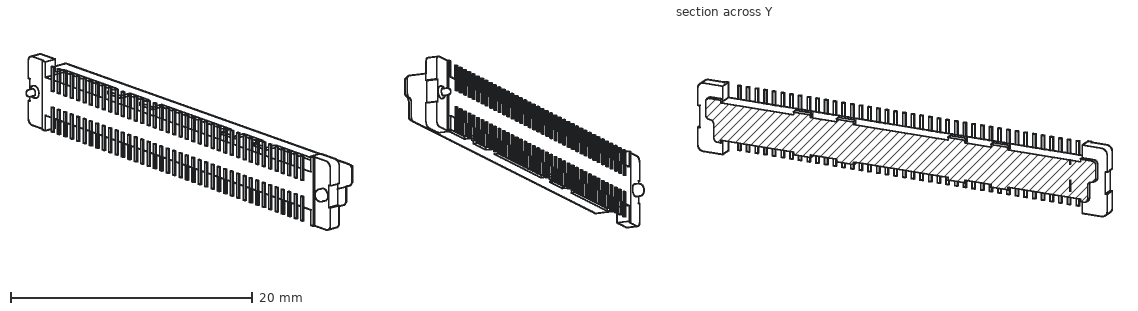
import cadquery as cq

total_depth = 4.35
pocket_depth = 1.6
flange_back = 2.5
tab_depth = 2.6
flange_front = 3.48
core_front = 3.63
pin_front = 3.75

shroud_half_length = 18.03
shroud_height = 3.78
corner_radius = 0.38
rim_chamfer_depth = 0.35
rim_chamfer_inset = 0.23
key_step = 0.75
key_radius = 0.36

core_height = 3.33
pocket_half_length = 16.6
tab_width = 1.6
tab_offsets = (5.15, 9.1)

overall_length = 37.8
flange_height = 6.0
flange_radius = 0.53
flange_step = 0.35
notch_depth = 0.2
notch_height = 1.93

pin_count = 40
pin_row_length = 31.22
pin_width = 0.25
pin_back = 3.6
pin_inner = 0.7
pin_outer = 2.85

peg_x = 18.05
round_peg_radius = 0.53
round_peg_length = 0.68
round_peg_fillet = 0.35
slim_peg_radius = 0.3
collar_radius = 0.53
collar_length = 0.2
collar_fillet = 0.15


def block(x_min, x_max, depth_back, depth_front, z_min, z_max):
    """Box between two X limits, two depths and two heights."""
    return cq.Workplane("XY").box(
        x_max - x_min, depth_front - depth_back, z_max - z_min, centered=False
    ).translate((x_min, -depth_front, z_min))


def mirrored_block(half_length, depth_back, depth_front, height):
    """Box centred on X = 0 and Z = 0."""
    return block(-half_length, half_length, depth_back, depth_front, -height / 2, height / 2)


def make_shroud():
    """Keyed block: the lower half is shorter than the upper one, joined by rounded steps."""
    half_height = shroud_height / 2
    lower_half_length = shroud_half_length - key_step
    upper = block(-shroud_half_length, shroud_half_length, 0, flange_front, 0, half_height)
    upper = upper.edges("|Y").fillet(corner_radius)
    lower = block(-lower_half_length, lower_half_length, 0, flange_front, -half_height, corner_radius)
    lower = lower.edges("|Y and <Z").fillet(corner_radius)
    keyed = upper.union(lower)
    step_corners = cq.selectors.BoxSelector(
        (-lower_half_length - key_radius / 2, -total_depth, -key_radius / 2),
        (lower_half_length + key_radius / 2, total_depth, key_radius / 2),
    )
    keyed = keyed.edges("|Y").edges(step_corners).fillet(key_radius)
    return keyed.faces(">Y").chamfer(rim_chamfer_depth, rim_chamfer_inset)


def cut_pockets(body):
    """Recess the top and bottom sides to the core height, leaving the tabs."""
    half_height = shroud_height / 2
    cutter = mirrored_block(pocket_half_length, pocket_depth, flange_front, shroud_height)
    cutter = cutter.cut(mirrored_block(pocket_half_length, pocket_depth, flange_front, core_height))
    for center in [side * offset for side in (-1, 1) for offset in tab_offsets]:
        cutter = cutter.cut(
            block(center - tab_width / 2, center + tab_width / 2,
                  pocket_depth, tab_depth, -half_height, half_height)
        )
    return body.cut(cutter)


def make_flange():
    """Left end flange: rounded outer corners, end notch and raised inner strip."""
    x_outer = -overall_length / 2
    half_height = flange_height / 2
    plate = block(x_outer, -pocket_half_length, flange_back, flange_front, -half_height, half_height)
    plate = plate.edges("|Y and <X").fillet(flange_radius)
    strip = block(-pocket_half_length - flange_step, -pocket_half_length,
                  flange_back, core_front, -half_height, half_height)
    notch = block(x_outer, x_outer + notch_depth, flange_back, flange_front,
                  -notch_height / 2, notch_height / 2)
    return plate.union(strip).cut(notch)


def make_peg(x, radius, length, tip_fillet):
    """Peg with a rounded tip edge, standing on the flange front face."""
    base = cq.Workplane("XZ", origin=(x, -flange_front, 0))
    return base.circle(radius).extrude(length).faces("<Y").edges().fillet(tip_fillet)


def make_slim_peg():
    """Narrow peg with a hemispherical tip, standing in a wider, rounded collar."""
    collar = make_peg(-peg_x, collar_radius, collar_length, collar_fillet)
    shank_length = total_depth - flange_front - slim_peg_radius
    shank = cq.Workplane("XZ", origin=(-peg_x, -flange_front, 0)).circle(slim_peg_radius)
    shank = shank.extrude(shank_length)
    tip = cq.Workplane("XY").sphere(slim_peg_radius)
    tip = tip.translate((-peg_x, slim_peg_radius - total_depth, 0))
    return collar.union(shank).union(tip)


def make_pins():
    """Two rows of flat pins lying on the board side."""
    pin_pitch = pin_row_length / (pin_count - 1)
    pins = []
    for index in range(pin_count):
        left = -pin_row_length / 2 + index * pin_pitch - pin_width / 2
        for z_min, z_max in ((pin_inner, pin_outer), (-pin_outer, -pin_inner)):
            pin = block(left, left + pin_width, pin_back, pin_front, z_min, z_max)
            pins.append(pin.val())
    return cq.Workplane(cq.Compound.makeCompound(pins))


housing = cut_pockets(make_shroud())
housing = housing.union(mirrored_block(pocket_half_length, pocket_depth, core_front, core_height))

flange = make_flange()
housing = housing.union(flange).union(flange.mirror("YZ"))

housing = housing.union(make_slim_peg())
housing = housing.union(make_peg(peg_x, round_peg_radius, round_peg_length, round_peg_fillet))

result = housing.union(make_pins())